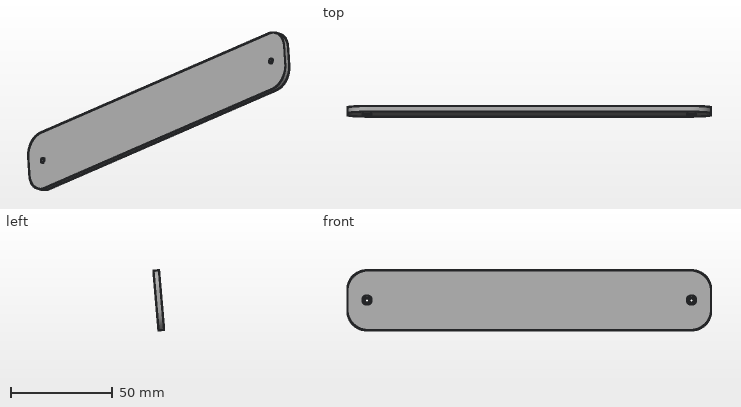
import cadquery as cq

length = 179.6
height = 29.6
thickness = 2.9
corner_radius = 9.9
lean_angle = 4.9

hole_diameter = 2.3
sink_diameter = 4.5
sink_angle = 90.0
hole_inset = 9.7
hole_offset = length / 2 - hole_inset


def rounded_plate():
    """Upright plate whose front face lies in the XZ plane, facing -Y."""
    return (
        cq.Workplane("XZ")
        .rect(length, height)
        .extrude(-thickness)
        .edges("|Y")
        .fillet(corner_radius)
    )


def drill_screw_holes(plate):
    """Countersink both screw holes from the front face."""
    return (
        plate.faces("<Y")
        .workplane(centerOption="CenterOfBoundBox")
        .pushPoints([(-hole_offset, 0), (hole_offset, 0)])
        .cskHole(hole_diameter, sink_diameter, sink_angle)
    )


upright_plate = drill_screw_holes(rounded_plate())
result = upright_plate.rotate((0, 0, 0), (1, 0, 0), -lean_angle)